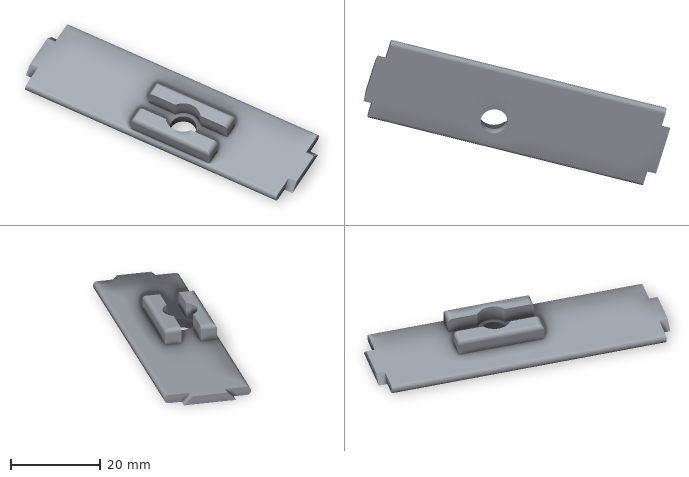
import cadquery as cq

total_length = 68.0
plate_width = 20.0
body_length = 64.0
side_edge_radius = 0.95

tab_top_width = 8.0
tab_bottom_width = 12.05
plate_thickness = (tab_bottom_width - tab_top_width) / 2

total_height = 5.7
hole_x = 4.5
hole_y = -3.0
hole_diameter = 6.0
rib_length = 20.0
rib_span = 12.05
rib_gap = 4.5
rib_edge_radius = 1.0
relief_diameter = 7.8


def make_body():
    """Rectangular plate with its long edges rounded, top and bottom."""
    plate = cq.Workplane("XY").rect(body_length, plate_width).extrude(plate_thickness)
    return plate.edges("|X").fillet(side_edge_radius)


def make_tabs():
    """Dovetail bar running the full length, so that it sticks out at both ends."""
    outline = [
        (-tab_bottom_width / 2, 0),
        (tab_bottom_width / 2, 0),
        (tab_top_width / 2, plate_thickness),
        (-tab_top_width / 2, plate_thickness),
    ]
    return (
        cq.Workplane("YZ", origin=(-total_length / 2, 0, 0))
        .polyline(outline)
        .close()
        .extrude(total_length)
    )


def make_ribs():
    """Block with rounded top edges, split lengthwise by the gap and the relief bore."""
    rib_height = total_height - plate_thickness
    base = cq.Workplane("XY", origin=(hole_x, hole_y, plate_thickness))
    block = base.rect(rib_length, rib_span).extrude(rib_height)
    block = block.faces(">Z").edges().fillet(rib_edge_radius)
    gap = base.rect(rib_length, rib_gap).extrude(rib_height)
    relief = base.circle(relief_diameter / 2).extrude(rib_height)
    return block.cut(gap).cut(relief)


def make_hole():
    """Cutter for the hole through the plate."""
    return (
        cq.Workplane("XY", origin=(hole_x, hole_y, 0))
        .circle(hole_diameter / 2)
        .extrude(plate_thickness)
    )


result = make_body().union(make_tabs()).union(make_ribs()).cut(make_hole())